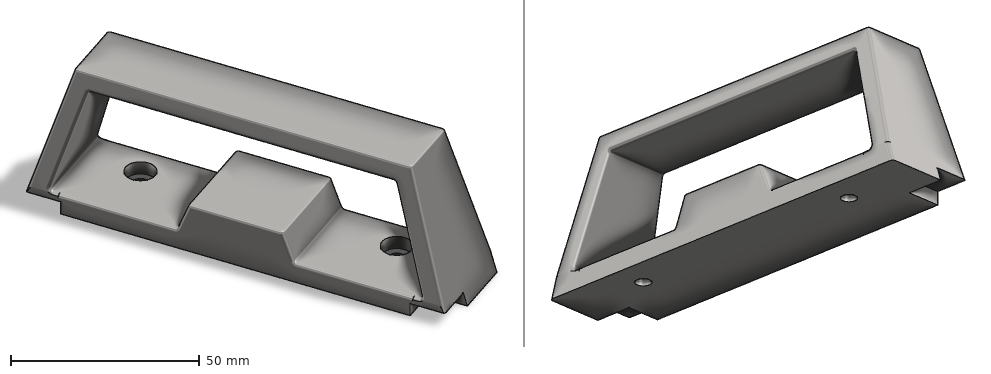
import cadquery as cq
import math

LENGTH = 127.0
DEPTH = 29.0
HEIGHT = 45.0
TOP_LENGTH = 100.1
TOP_DEPTH = 20.0

WALL = 6.0
EDGE_RADIUS = 1.0
MIDDLE_LENGTH = 105.4

BLOCK_HEIGHT = 15.0
BLOCK_TOP_LENGTH = 28.0
BLOCK_FOOT_LENGTH = 35.0

RELIEF_HEIGHT = 4.0
RELIEF_DEPTH = 10.8
RELIEF_SPACING = 103.9

HOLE_SPACING = 76.2
HOLE_Y = 5.1
HOLE_DIAMETER = 4.6
COUNTERBORE_DIAMETER = 8.8
COUNTERBORE_DEPTH = 4.0

LEG_LEAN = (LENGTH - TOP_LENGTH) / 2 / HEIGHT
LEG_WIDTH = WALL * math.hypot(1, LEG_LEAN)
WINDOW_TOP = HEIGHT - WALL
FACE_LEAN = (DEPTH - TOP_DEPTH) / 2 / (HEIGHT - WALL)
BOTTOM_DEPTH = DEPTH + 2 * FACE_LEAN * WALL


def leg_outer_x(z):
    """Half length of the part at height z."""
    return LENGTH / 2 - LEG_LEAN * z


def leg_inner_x(z):
    """Half length of the window at height z."""
    return leg_outer_x(z) - LEG_WIDTH


def trapezoid_prism(bottom_x, bottom_z, top_x, top_z, depth):
    """Trapezoid in XZ with the given half lengths, extruded along Y and centred."""
    outline = (
        cq.Workplane("XZ")
        .polyline([
            (-bottom_x, bottom_z),
            (bottom_x, bottom_z),
            (top_x, top_z),
            (-top_x, top_z),
        ])
        .close()
    )
    return outline.extrude(depth / 2, both=True)


def standing_box(length, depth, height):
    """Box centred in X and Y that stands on the bottom plane."""
    return cq.Workplane("XY").box(length, depth, height, centered=(True, True, False))


def make_envelope(depth):
    """Solid trapezoid with the outer outline of the frame."""
    return trapezoid_prism(leg_outer_x(0), 0, leg_outer_x(HEIGHT), HEIGHT, depth)


def make_window(depth):
    """Opening enclosed by the bar, the legs and the base."""
    return trapezoid_prism(leg_inner_x(WALL), WALL, leg_inner_x(WINDOW_TOP), WINDOW_TOP, depth)


def round_outside(block):
    """Round the top and upright edges of a block, leaving the bottom face sharp."""
    return block.edges("not <Z").fillet(EDGE_RADIUS)


def cut_window(block, window):
    """Cut the window with rounded corners, then round its front and back rims."""
    opening = window.edges("|Y").fillet(EDGE_RADIUS)
    rim_zone = cq.selectors.BoxSelector(
        (-leg_inner_x(WALL), -BOTTOM_DEPTH, WALL - EDGE_RADIUS),
        (leg_inner_x(WALL), BOTTOM_DEPTH, WINDOW_TOP + EDGE_RADIUS),
    )
    return block.cut(opening).edges("not |Y").edges(rim_zone).fillet(EDGE_RADIUS)


def make_leaning_frame():
    """Closed frame whose front and back faces lean inward over the full height."""
    lean_profile = (
        cq.Workplane("YZ")
        .polyline([
            (-BOTTOM_DEPTH / 2, 0),
            (BOTTOM_DEPTH / 2, 0),
            (TOP_DEPTH / 2, HEIGHT),
            (-TOP_DEPTH / 2, HEIGHT),
        ])
        .close()
        .extrude(LENGTH / 2, both=True)
    )
    block = round_outside(make_envelope(BOTTOM_DEPTH).intersect(lean_profile))
    return cut_window(block, make_window(BOTTOM_DEPTH))


def make_base_middle():
    """Base between the legs, with vertical front and back faces and the raised block."""
    block = trapezoid_prism(BLOCK_FOOT_LENGTH / 2, WALL, BLOCK_TOP_LENGTH / 2, BLOCK_HEIGHT, DEPTH)
    upright_frame = cut_window(make_envelope(DEPTH), make_window(DEPTH).cut(block))
    return upright_frame.intersect(standing_box(MIDDLE_LENGTH, DEPTH, BLOCK_HEIGHT))


def make_base_ends(leaning_frame):
    """Base under the legs, trimmed to vertical faces and rounded at the two rear ends."""
    foot = trapezoid_prism(leg_outer_x(0), 0, leg_outer_x(WALL), WALL, DEPTH)
    foot = foot.faces(">Y").edges("not |X").fillet(EDGE_RADIUS)
    return leaning_frame.intersect(foot).cut(standing_box(MIDDLE_LENGTH, DEPTH, WALL))


def make_relief(side):
    """Relief under the front corner at the +X (side = 1) or -X (side = -1) end."""
    relief_length = (LENGTH - RELIEF_SPACING) / 2
    return (
        cq.Workplane("XY")
        .box(relief_length, RELIEF_DEPTH, RELIEF_HEIGHT, centered=(True, False, False))
        .translate((side * (RELIEF_SPACING + relief_length) / 2, -DEPTH / 2, 0))
    )


leaning_frame = make_leaning_frame()
legs_and_bar = leaning_frame.cut(standing_box(LENGTH, BOTTOM_DEPTH, WALL))
body = make_base_middle().union(make_base_ends(leaning_frame)).union(legs_and_bar)

for side in (-1, 1):
    body = body.cut(make_relief(side))

result = (
    body.copyWorkplane(cq.Workplane("XY", origin=(0, 0, WALL)))
    .pushPoints([(-HOLE_SPACING / 2, HOLE_Y), (HOLE_SPACING / 2, HOLE_Y)])
    .cboreHole(HOLE_DIAMETER, COUNTERBORE_DIAMETER, COUNTERBORE_DEPTH, depth=WALL)
)